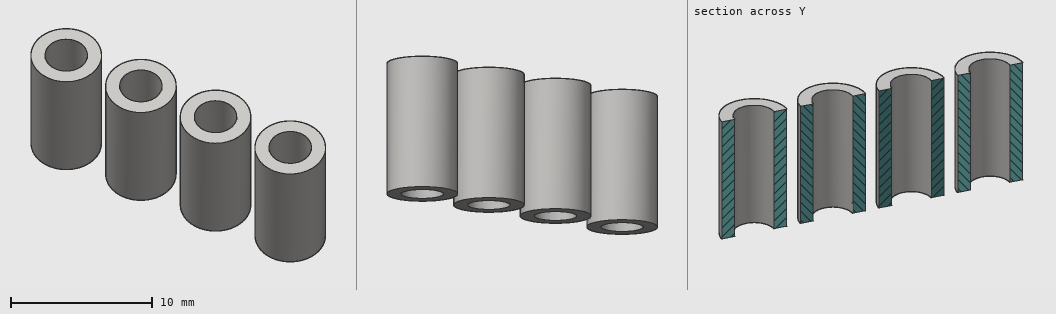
import cadquery as cq

row_length = 23.0
sleeve_count = 4
outer_diameter = 5.0
bore_diameter = 3.0
sleeve_height = 9.4

pitch = (row_length - outer_diameter) / (sleeve_count - 1)
first_center_x = -pitch * (sleeve_count - 1) / 2


def make_sleeve(center_x):
    """Plain round sleeve standing on the XY plane, bored through along Z."""
    return (
        cq.Workplane("XY")
        .center(center_x, 0)
        .circle(outer_diameter / 2)
        .circle(bore_diameter / 2)
        .extrude(sleeve_height)
    )


sleeves = []
for index in range(sleeve_count):
    sleeve = make_sleeve(first_center_x + index * pitch)
    sleeves.append(sleeve.val())

result = cq.Compound.makeCompound([*sleeves])